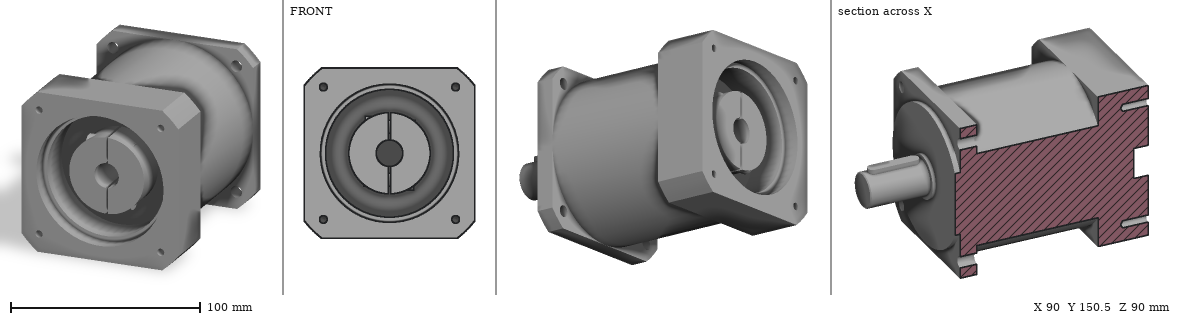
import cadquery as cq
import math

square_width = 90.0
corner_circle_dia = 115.0
shaft_tip_y = 150.5
adapter_length = 29.6
flange_back_y = 100.5
flange_front_y = 110.5

register_dia = 80.0
register_front_y = 113.5
collar_dia = 25.0
collar_front_y = 115.5
shaft_dia = 20.0
shaft_tip_chamfer = 0.6
flange_hole_dia = 6.5
flange_hole_offset = 35.4

key_width = 6.0
key_length = 30.0
key_height = 6.0
key_top_z = 12.5
key_tip_gap = 3.0

pilot_dia = 73.0
pilot_depth = 8.3
pocket_dia = 67.5
pocket_floor_y = 27.7
tapped_hole_dia = 4.0
tapped_hole_offset = 34.9
tapped_hole_depth = 15.0
drill_point_angle = 118.0

hub_dia = 42.9
hub_front_y = 9.0
hub_slot_width = 1.5
motor_bore_dia = 14.0
motor_bore_end_y = 33.1

screw_z = 14.0
screw_y = 15.7
screw_dia = 6.9
screw_head_dia = 11.0
screw_head_x = 12.8
screw_head_length = 6.0
screw_tip_x = 13.5


def cylinder(diameter, start_y, end_y, x=0.0, z=0.0):
    """Cylinder along Y between two Y positions."""
    return cq.Workplane(cq.Solid.makeCylinder(
        diameter / 2, end_y - start_y, cq.Vector(x, start_y, z), cq.Vector(0, 1, 0)))


def rounded_square(start_y, end_y):
    """Square plate whose corners are cut by a circle about the axis."""
    length = end_y - start_y
    square = cq.Workplane().box(square_width, length, square_width, centered=(True, False, True))
    return square.translate((0, start_y, 0)).intersect(cylinder(corner_circle_dia, start_y, end_y))


def corner_positions(offset):
    """X and Z of the four corner holes."""
    return [(x, z) for x in (-offset, offset) for z in (-offset, offset)]


def drilled_hole(x, z):
    """Blind hole from the motor face with a conical drill point."""
    radius = tapped_hole_dia / 2
    point_length = radius / math.tan(math.radians(drill_point_angle / 2))
    point = cq.Solid.makeCone(
        radius, 0, point_length, cq.Vector(x, tapped_hole_depth, z), cq.Vector(0, 1, 0))
    return cylinder(tapped_hole_dia, 0, tapped_hole_depth, x, z).union(cq.Workplane(point))


def make_key():
    """Round-ended parallel key in the top of the shaft."""
    key_center_y = shaft_tip_y - key_tip_gap - key_length / 2
    return (
        cq.Workplane("XY", origin=(0, key_center_y, key_top_z - key_height))
        .slot2D(key_length, key_width, 90)
        .extrude(key_height)
    )


def x_cylinder(diameter, start_x, end_x, z):
    """Cylinder along X at the depth of the clamping screws."""
    return cq.Workplane(cq.Solid.makeCylinder(
        diameter / 2, end_x - start_x, cq.Vector(start_x, screw_y, z), cq.Vector(1, 0, 0)))


def clamping_screw():
    """Upper clamping screw, lying along X with its head on the -X side."""
    shank = x_cylinder(screw_dia, -screw_head_x, screw_tip_x, screw_z)
    head = x_cylinder(screw_head_dia, -screw_head_x, -screw_head_x + screw_head_length, screw_z)
    return shank.union(head)


def make_hub():
    """Split hub standing on the pocket floor, with its two opposed screws."""
    hub = cylinder(hub_dia, hub_front_y, pocket_floor_y)
    hub_length = pocket_floor_y - hub_front_y
    slot = cq.Workplane().box(hub_slot_width, hub_length, hub_dia, centered=(True, False, True))
    hub = hub.cut(slot.translate((0, hub_front_y, 0)))
    screw = clamping_screw()
    opposite_screw = screw.rotate((0, 0, 0), (0, 1, 0), 180)
    return hub.union(screw).union(opposite_screw)


def make_flange():
    """Output flange with a through hole in each corner."""
    flange = rounded_square(flange_back_y, flange_front_y)
    for x, z in corner_positions(flange_hole_offset):
        flange = flange.cut(cylinder(flange_hole_dia, flange_back_y, flange_front_y, x, z))
    return flange


def make_adapter():
    """Motor adapter with its pilot recess, hub pocket and tapped holes."""
    adapter = rounded_square(0, adapter_length)
    adapter = adapter.cut(cylinder(pilot_dia, 0, pilot_depth))
    adapter = adapter.cut(cylinder(pocket_dia, pilot_depth, pocket_floor_y))
    for x, z in corner_positions(tapped_hole_offset):
        adapter = adapter.cut(drilled_hole(x, z))
    return adapter


def make_output_end():
    """Register, collar and shaft stacked on the output flange."""
    register = cylinder(register_dia, flange_front_y, register_front_y)
    collar = cylinder(collar_dia, register_front_y, collar_front_y)
    shaft = cylinder(shaft_dia, collar_front_y, shaft_tip_y).faces(">Y").chamfer(shaft_tip_chamfer)
    return register.union(collar).union(shaft)


def make_gearbox(key):
    """Gearbox with its output shaft and clamping hub, recessed for the key."""
    drum = cylinder(square_width, adapter_length, flange_back_y)
    gearbox = drum.union(make_flange()).union(make_adapter())
    gearbox = gearbox.union(make_output_end()).union(make_hub())
    motor_bore = cylinder(motor_bore_dia, hub_front_y, motor_bore_end_y)
    return gearbox.cut(motor_bore).cut(key)


key = make_key()
gearbox = make_gearbox(key)
result = cq.Compound.makeCompound([gearbox.val(), key.val()])